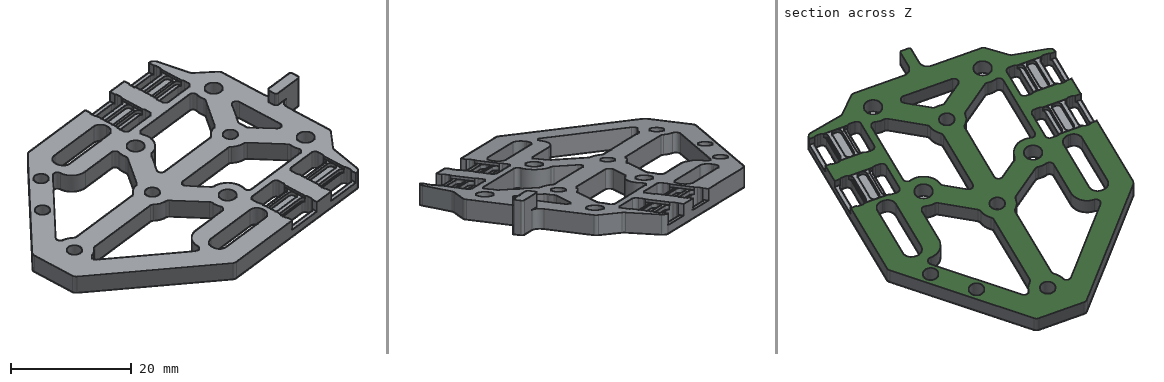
import cadquery as cq
import math

PLATE_T = 3.5
HALF_WIDTH = 22.5
TOP_Y = 31.6
BOTTOM_Y = -25.4
TOP_HALF_FLAT = 12.0
SHOULDER_DROP = 3.45
SIDE_TOP_Y = 26.65
SIDE_BOTTOM_Y = -5.4
BOTTOM_HALF_FLAT = 4.55
OUTLINE_R = 1.0

HOLE_PITCH_Y = 20.0
CENTRE_HOLE_D = 2.53
CORNER_HOLE_D = 3.0
CORNER_HOLE_X = 10.0
CORNER_HOLE_RISE = 7.5
BOSS_R = 3.25
WEB_HALF = 2.0
BORDER_W = 4.0
WINDOW_R = 0.75
WINDOW_X = CORNER_HOLE_X + WEB_HALF
SLOT_CORNER_Y = -6.0
SLOT_CORNER_R = 3.0
TRIANGLE_TOP_Y = CORNER_HOLE_RISE + HOLE_PITCH_Y

BORDER_HOLE_D = 2.53
BORDER_HOLE_START = 6.9
BORDER_HOLE_PITCH = 8.3

LONG_SLOT_X = 17.0
LONG_SLOT_Y = 1.9
LONG_SLOT_L = 13.0
LONG_SLOT_W = 3.3
LONG_SLOT_R = 1.5

RECESS_YS = (22.5, 12.5)
RECESS_H = 6.3
RECESS_R = 0.75
CUTOUT_H = 6.65
OUTER_CUTOUT_X = (19.65, 21.75)
INNER_CUTOUT_X = (13.35, 15.75)
OUTER_STEP_X = 19.35
INNER_STEP_X = 16.45
GROOVE_X = (16.9, 18.63)
LIP_Z = 1.5
STEP_Z = 2.25
BAR_Z = 3.0

TAB_W = 2.0
TAB_L = 6.0
TAB_H = 6.0
TAB_TIP_Y = 36.6
TAB_TIP_R = 0.4
TAB_HEEL_R = 0.5
TAB_ROOT_R = 1.5

SIDES = (-1, 1)
WEB_SLOPE = CORNER_HOLE_RISE / CORNER_HOLE_X
WEB_OFFSET_Y = WEB_HALF * math.hypot(1, WEB_SLOPE)
BORDER_DX = HALF_WIDTH - BOTTOM_HALF_FLAT
BORDER_DY = SIDE_BOTTOM_Y - BOTTOM_Y
BORDER_L = math.hypot(BORDER_DX, BORDER_DY)


def prism(points, height=PLATE_T):
    return cq.Workplane("XY").polyline(points).close().extrude(height)


def box(x_range, y_range, z_range):
    size = [b - a for a, b in (x_range, y_range, z_range)]
    corner = (x_range[0], y_range[0], z_range[0])
    return cq.Workplane("XY").box(*size, centered=False).translate(corner)


def cylinders(points, diameter):
    return cq.Workplane("XY").pushPoints(points).circle(diameter / 2).extrude(PLATE_T)


def both_sides(body):
    return body.union(body.mirror("YZ"))


def centre_holes():
    return [(0, row * HOLE_PITCH_Y) for row in (-1, 0, 1)]


def corner_holes():
    return [
        (side * CORNER_HOLE_X, row * HOLE_PITCH_Y + CORNER_HOLE_RISE)
        for side in SIDES
        for row in (0, 1)
    ]


def bosses():
    return cylinders(centre_holes() + corner_holes(), 2 * BOSS_R)


def web_edge(x, row, side):
    """Y of the upper (side = 1) or lower (side = -1) edge of a slanted web at x >= 0."""
    return row * HOLE_PITCH_Y + WEB_SLOPE * x + side * WEB_OFFSET_Y


def border_inner_x(y):
    """X of the inner edge of the slanted lower border at height y."""
    outer_x = HALF_WIDTH - (SIDE_BOTTOM_Y - y) * BORDER_DX / BORDER_DY
    return outer_x - BORDER_W * BORDER_L / BORDER_DY


def border_inner_y(x):
    """Y of the inner edge of the slanted lower border at x."""
    return SIDE_BOTTOM_Y - (border_inner_x(SIDE_BOTTOM_Y) - x) * BORDER_DY / BORDER_DX


def plate():
    half = [
        (TOP_HALF_FLAT, TOP_Y),
        (TOP_HALF_FLAT + SHOULDER_DROP, TOP_Y - SHOULDER_DROP),
        (HALF_WIDTH, SIDE_TOP_Y),
        (HALF_WIDTH, SIDE_BOTTOM_Y),
        (BOTTOM_HALF_FLAT, BOTTOM_Y),
    ]
    other_half = [(-x, y) for x, y in reversed(half)]
    return prism(half + other_half).edges("|Z").fillet(OUTLINE_R)


def tab():
    half_w = TAB_W / 2
    blade = box((-half_w, half_w), (TAB_TIP_Y - TAB_L, TAB_TIP_Y), (0, TAB_H))
    blade = blade.edges("|Z and >Y").fillet(TAB_TIP_R)
    blade = blade.edges("|Z and <Y").fillet(TAB_HEEL_R)
    root = box((0, half_w + TAB_ROOT_R), (TOP_Y - TAB_ROOT_R, TOP_Y + TAB_ROOT_R), (0, PLATE_T))
    root = root.cut(cylinders([(half_w + TAB_ROOT_R, TOP_Y + TAB_ROOT_R)], 2 * TAB_ROOT_R))
    return blade.union(both_sides(root))


def triangle_window():
    half_top = (TRIANGLE_TOP_Y - web_edge(0, 1, 1)) / WEB_SLOPE
    points = [(-half_top, TRIANGLE_TOP_Y), (half_top, TRIANGLE_TOP_Y), (0, web_edge(0, 1, 1))]
    return prism(points).cut(bosses()).edges("|Z").fillet(WINDOW_R)


def upper_window():
    points = [
        (WEB_HALF, web_edge(WEB_HALF, 0, 1)),
        (CORNER_HOLE_X, web_edge(CORNER_HOLE_X, 0, 1)),
        (WINDOW_X, CORNER_HOLE_RISE),
        (WINDOW_X, web_edge(WINDOW_X, 1, -1)),
        (WEB_HALF, web_edge(WEB_HALF, 1, -1)),
    ]
    return prism(points).cut(bosses()).edges("|Z").fillet(WINDOW_R)


def lower_window():
    points = [
        (WEB_HALF, web_edge(WEB_HALF, 0, -1)),
        (WINDOW_X, web_edge(WINDOW_X, 0, -1)),
        (WINDOW_X, SLOT_CORNER_Y),
        (border_inner_x(SLOT_CORNER_Y), SLOT_CORNER_Y),
        (WEB_HALF, border_inner_y(WEB_HALF)),
    ]
    window = prism(points).cut(bosses())
    slot_corner = cq.selectors.NearestToPointSelector((WINDOW_X, SLOT_CORNER_Y, PLATE_T / 2))
    upright = cq.selectors.StringSyntaxSelector("|Z")
    window = window.edges(upright - slot_corner).fillet(WINDOW_R)
    return window.edges(slot_corner).fillet(SLOT_CORNER_R)


def border_holes():
    points = []
    for along in (BORDER_HOLE_START, BORDER_HOLE_START + BORDER_HOLE_PITCH):
        x = -HALF_WIDTH + (along * BORDER_DX + BORDER_W / 2 * BORDER_DY) / BORDER_L
        y = SIDE_BOTTOM_Y + (BORDER_W / 2 * BORDER_DX - along * BORDER_DY) / BORDER_L
        points.append((x, y))
    return cylinders(points, BORDER_HOLE_D)


def long_slot():
    slot = cq.Workplane("XY").center(LONG_SLOT_X, LONG_SLOT_Y)
    return slot.rect(LONG_SLOT_W, LONG_SLOT_L).extrude(PLATE_T).edges("|Z").fillet(LONG_SLOT_R)


def rounded_pocket(x_range, y_centre, height, floor_z):
    y_range = (y_centre - height / 2, y_centre + height / 2)
    return box(x_range, y_range, (floor_z, PLATE_T)).edges("|Z").fillet(RECESS_R)


def side_recess(y_centre):
    y_range = (y_centre - RECESS_H / 2, y_centre + RECESS_H / 2)
    cut = box((INNER_CUTOUT_X[1] - RECESS_R, HALF_WIDTH), y_range, (BAR_Z, PLATE_T))
    cut = cut.union(box((OUTER_CUTOUT_X[1] - RECESS_R, HALF_WIDTH), y_range, (LIP_Z, PLATE_T)))
    for cutout in (OUTER_CUTOUT_X, INNER_CUTOUT_X):
        cut = cut.union(rounded_pocket(cutout, y_centre, CUTOUT_H, 0))
    steps = (
        (OUTER_STEP_X, OUTER_CUTOUT_X[1]),
        GROOVE_X,
        (INNER_CUTOUT_X[0], INNER_STEP_X),
    )
    for step in steps:
        cut = cut.union(rounded_pocket(step, y_centre, RECESS_H, STEP_Z))
    return cut


result = plate().union(tab())
result = result.cut(cylinders(centre_holes(), CENTRE_HOLE_D))
result = result.cut(cylinders(corner_holes(), CORNER_HOLE_D))
result = result.cut(border_holes())
result = result.cut(triangle_window())
for opening in (upper_window(), lower_window(), long_slot()):
    result = result.cut(both_sides(opening))
for recess_y in RECESS_YS:
    result = result.cut(both_sides(side_recess(recess_y)))